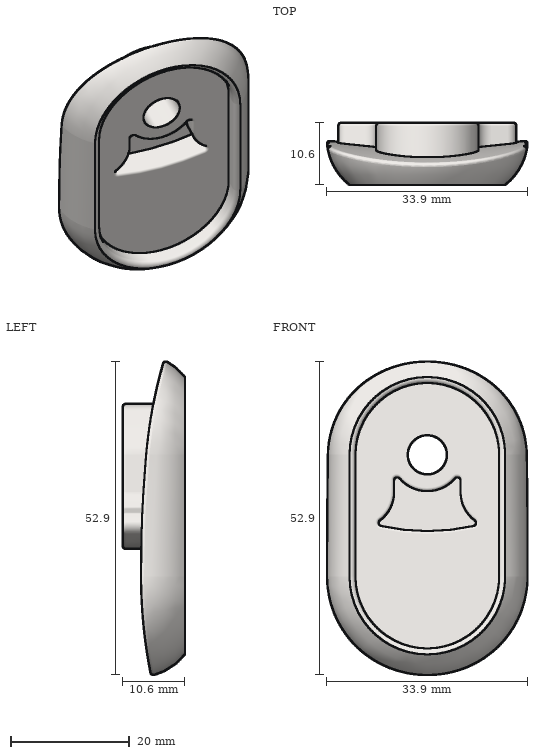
import cadquery as cq
import math

overall_depth = 10.55
upper_center_z = 10.05
lower_center_z = -10.5

rim_radius = 13.15
wall_bulge = 3.85
wall_depth = 7.95
back_depth = 6.45
back_peak_z = -10.0
back_length_radius = 233.0
back_width_radius = 135.6
back_edge_fillet = 0.55
recess_radius = 12.15
recess_depth = 2.8
rim_fillet = 0.85

hole_radius = 3.3
boss_wall = 3.0
boss_edge_fillet = 0.6
pocket_edge_fillet = 0.55
pocket_floor = overall_depth - boss_wall
bell_half_width = 5.6
bell_corner_radius = 0.55
bell_top_radius = 6.15
bell_bottom_z = -2.8
bell_shoulder_z = 3.7
bell_tip_x = 7.7
bell_tip_z = -1.45
wing_reach = 15.05
wing_end_radius = 1.85
boss_start = 3.7


def plane_at(depth, z=0):
    """XZ plane at the given depth, with its normal pointing to +Y."""
    return cq.Plane(origin=(0, depth, z), xDir=(-1, 0, 0), normal=(0, 1, 0))


def toward(start, end, distance):
    """Point at a distance from start along the line to end."""
    span = math.dist(start, end)
    return tuple(a + (b - a) * distance / span for a, b in zip(start, end))


def polar(center, radius, angle):
    return (center[0] + radius * math.cos(angle), center[1] + radius * math.sin(angle))


def mirrored(point):
    return (-point[0], point[1])


def stadium(radius, depth):
    length = upper_center_z - lower_center_z
    middle = (upper_center_z + lower_center_z) / 2
    return cq.Workplane(plane_at(0, middle)).slot2D(length + 2 * radius, 2 * radius, 90).extrude(depth)


def wall_profile(plane):
    """Half section of the bulged wall, with its axis along local Y."""
    arc_radius = (wall_depth**2 + wall_bulge**2) / (2 * wall_bulge)
    widest = rim_radius + wall_bulge
    half_angle = math.asin(wall_depth / arc_radius) / 2
    middle = (
        widest - arc_radius * (1 - math.cos(half_angle)),
        wall_depth - arc_radius * math.sin(half_angle),
    )
    return (
        cq.Workplane(plane)
        .lineTo(rim_radius, 0)
        .threePointArc(middle, (widest, wall_depth))
        .lineTo(0, wall_depth)
        .close()
    )


def bulged_body():
    lower_plane = cq.Plane(origin=(0, 0, lower_center_z), xDir=(1, 0, 0), normal=(0, 0, 1))
    upper_plane = cq.Plane(origin=(0, 0, upper_center_z), xDir=(1, 0, 0), normal=(0, 0, 1))
    half_middle = wall_profile(lower_plane).extrude(upper_center_z - lower_center_z)
    body = half_middle.union(half_middle.mirror("YZ"))
    for plane in (lower_plane, upper_plane):
        body = body.union(wall_profile(plane).revolve(360, (0, 0), (0, 1)))
    return body


def back_envelope():
    """Ring sector bounded by the back, convex along Z and concave along X."""
    half_width = 21.2
    inner_depth = -10.6
    sweep_angle = 20.0
    edge_depth = back_depth + back_width_radius - math.sqrt(back_width_radius**2 - half_width**2)
    axis_depth = back_depth - back_length_radius
    profile = (
        cq.Workplane("XY", origin=(0, 0, back_peak_z))
        .moveTo(-half_width, inner_depth)
        .lineTo(-half_width, edge_depth)
        .threePointArc((0, back_depth), (half_width, edge_depth))
        .lineTo(half_width, inner_depth)
        .close()
    )
    sector = profile.revolve(sweep_angle, (0, axis_depth), (1, axis_depth))
    return sector.rotate((0, axis_depth, back_peak_z), (1, axis_depth, back_peak_z), -sweep_angle / 2)


tip = (bell_tip_x, bell_tip_z)
tip_rise = bell_tip_z - bell_bottom_z - bell_corner_radius
bottom_radius = (bell_tip_x**2 + tip_rise**2) / (2 * tip_rise) + bell_corner_radius
bottom_center = (0, bell_bottom_z + bottom_radius)
tip_offset = bell_tip_x - bell_half_width
tip_drop = bell_shoulder_z - bell_tip_z
flank_radius = (tip_offset**2 + tip_drop**2 - bell_corner_radius**2) / (2 * (tip_offset + bell_corner_radius))
flank_center = (bell_half_width + flank_radius, bell_shoulder_z)
hole_center = (0, upper_center_z)


def bell_pocket():
    ear_x = bell_half_width - bell_corner_radius
    ear_drop = math.sqrt((bell_top_radius + bell_corner_radius) ** 2 - ear_x**2)
    ear = (ear_x, upper_center_z - ear_drop)
    ear_inner = toward(ear, hole_center, bell_corner_radius)
    ear_top = (ear_x, ear[1] + bell_corner_radius)
    ear_outer = (bell_half_width, ear[1])
    shoulder = (bell_half_width, bell_shoulder_z)
    tip_upper = toward(tip, flank_center, bell_corner_radius)
    tip_outer = (bell_tip_x + bell_corner_radius, bell_tip_z)
    tip_lower = toward(bottom_center, tip, bottom_radius)
    flank_chord_middle = tuple((a + b) / 2 for a, b in zip(shoulder, tip_upper))
    flank_middle = toward(flank_center, flank_chord_middle, flank_radius)
    outline = (
        cq.Workplane(plane_at(recess_depth))
        .moveTo(*mirrored(ear_inner))
        .threePointArc((0, upper_center_z - bell_top_radius), ear_inner)
        .threePointArc(ear_top, ear_outer)
        .lineTo(*shoulder)
        .threePointArc(flank_middle, tip_upper)
        .threePointArc(tip_outer, tip_lower)
        .threePointArc((0, bell_bottom_z), mirrored(tip_lower))
        .threePointArc(mirrored(tip_outer), mirrored(tip_upper))
        .threePointArc(mirrored(flank_middle), mirrored(shoulder))
        .lineTo(*mirrored(ear_outer))
        .threePointArc(mirrored(ear_top), mirrored(ear_inner))
        .close()
    )
    return outline.extrude(pocket_floor - recess_depth)


def boss():
    """Boss that follows the bell one wall thickness out, with a wing on each side."""
    half_width = bell_half_width + boss_wall
    fillet_radius = flank_radius - boss_wall
    outer_radius = bottom_radius + boss_wall
    end_x = wing_reach - wing_end_radius
    end_center = (end_x, bottom_center[1] - math.sqrt((outer_radius - wing_end_radius) ** 2 - end_x**2))
    span = math.dist(flank_center, end_center)
    axis_angle = math.atan2(end_center[1] - flank_center[1], end_center[0] - flank_center[0])
    root_angle = axis_angle - math.acos((fillet_radius + wing_end_radius) / span)
    shoulder = (half_width, bell_shoulder_z)
    fillet_middle = polar(flank_center, fillet_radius, (root_angle - math.pi) / 2)
    wing_root = polar(flank_center, fillet_radius, root_angle)
    wing_top = polar(end_center, wing_end_radius, root_angle + math.pi)
    wing_end = (wing_reach, end_center[1])
    wing_lower = toward(bottom_center, end_center, outer_radius)
    outline = (
        cq.Workplane(plane_at(boss_start))
        .moveTo(-half_width, upper_center_z)
        .threePointArc((0, upper_center_z + half_width), (half_width, upper_center_z))
        .lineTo(*shoulder)
        .threePointArc(fillet_middle, wing_root)
        .lineTo(*wing_top)
        .threePointArc(wing_end, wing_lower)
        .threePointArc((0, bell_bottom_z - boss_wall), mirrored(wing_lower))
        .threePointArc(mirrored(wing_end), mirrored(wing_top))
        .lineTo(*mirrored(wing_root))
        .threePointArc(mirrored(fillet_middle), mirrored(shoulder))
        .close()
    )
    return outline.extrude(overall_depth - boss_start).faces(">Y").edges().fillet(boss_edge_fillet)


def front_edges(solid, depth, reach):
    """Edges in the plane at the given depth that lie within reach of the Y axis."""
    slack = 0.005
    box = cq.selectors.BoxSelector(
        (-reach, depth - slack, -reach), (reach, depth + slack, reach), boundingbox=True
    )
    return solid.edges(box)


shell = bulged_body().intersect(back_envelope())
shell = shell.faces(">Y").edges().fillet(back_edge_fillet)
recessed = shell.union(boss()).cut(stadium(recess_radius, recess_depth))

inner_rim = cq.selectors.AreaNthSelector(0)
recessed = recessed.faces("<Y").wires(inner_rim).edges().fillet(rim_fillet)

pocket_reach = bell_tip_x + 2 * bell_corner_radius
pocketed = recessed.cut(bell_pocket())
pocketed = front_edges(pocketed, recess_depth, pocket_reach).fillet(pocket_edge_fillet)

hole = cq.Workplane(plane_at(0, upper_center_z)).circle(hole_radius).extrude(overall_depth)
result = pocketed.cut(hole)